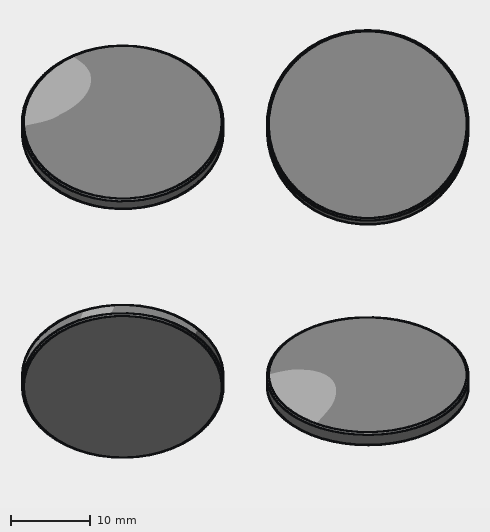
import cadquery as cq

diameter = 25.4
center_thickness = 3.78
rim_height = 2.03
bevel = 0.25

radius = diameter / 2
dome_radius = radius - bevel
dome_rise = center_thickness - rim_height
sphere_radius = (dome_radius**2 + dome_rise**2) / (2 * dome_rise)

arc_mid_x = dome_radius / 2
arc_mid_z = center_thickness - sphere_radius + (sphere_radius**2 - arc_mid_x**2) ** 0.5

half_section = (
    cq.Workplane("XZ")
    .lineTo(radius - bevel, 0)
    .lineTo(radius, bevel)
    .lineTo(radius, rim_height - bevel)
    .lineTo(dome_radius, rim_height)
    .threePointArc((arc_mid_x, arc_mid_z), (0, center_thickness))
    .close()
)

result = half_section.revolve(360, (0, 0, 0), (0, 1, 0))